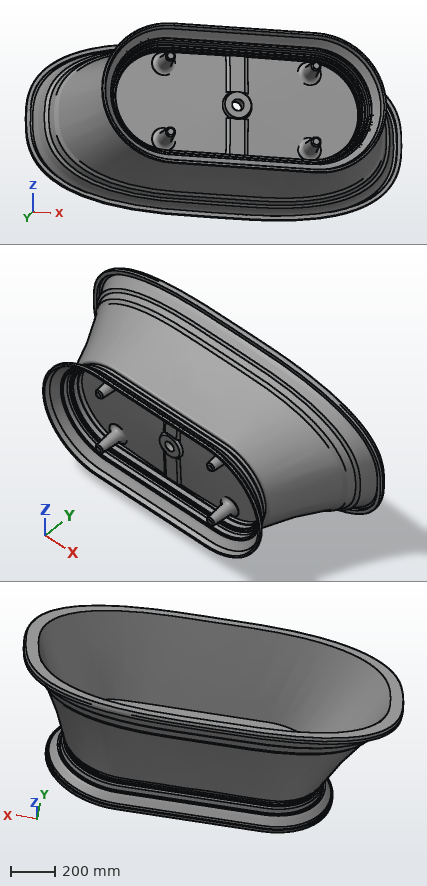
import cadquery as cq
import math

height = 610.0
rim_y = height / 2
base_y = -height / 2

rim_half_length = 875.0
rim_half_width = 399.9
rim_thickness = 32.0
rim_draft = 5.0
rim_plate_thickness = 15.0
rim_lip_thickness = 20.0

stadium_half_straight = 335.0
oval_half_straight = 70.0
stadium_exponent = 2.0
oval_exponent = 2.65
quarter_points = 8
side_points = 2

moulding_levels = [
    (rim_y - rim_plate_thickness, 842.0, 382.0),
    (268.0, 830.0, 371.0),
    (255.0, 822.0, 368.0),
    (215.0, 805.0, 360.0),
    (203.0, 788.0, 350.0),
    (168.0, 772.0, 343.0),
    (150.0, 756.0, 330.0),
]
waist_level = (-9.0, 672.0, 292.0)
bottom_level = (-166.0, 605.0, 266.0)
bottom_edge_radius = 10.0
wall = 12.0
basin_mouth = (rim_y, 812.0, 360.0)

underside_y = bottom_level[0] - bottom_edge_radius
neck_top_y = -168.0
floor_centre_y = -166.0
floor_slope = 0.045
recess_half_width = 235.0
recess_half_length = stadium_half_straight + recess_half_width
drain_diameter = 55.0
boss_diameter = 122.0
boss_base_diameter = 136.0
boss_height = 15.0
rib_width = 68.0
rib_base_width = 102.0
rib_height = 7.0

foot_x = 340.0
foot_z = 178.0
foot_base_y = -154.0
foot_tip_y = -287.0
foot_flare_diameter = 108.0
foot_diameter = 63.0
foot_tip_diameter = 45.0
foot_tip_face = 32.0
foot_tip_chamfer = 7.0

plinth_wall = 9.0
neck_half_width = 248.0
base_half_width = 327.0
base_lip_thickness = 10.0
plinth_profile = [
    (neck_half_width, neck_top_y),
    (neck_half_width, -196.0),
    (252.0, -203.0),
    (262.0, -206.0),
    (270.0, -215.0),
    (273.0, -238.0),
    (284.0, -243.0),
    (294.0, -254.0),
    (317.0, -280.0),
    (320.0, -290.0),
]


def plan(y):
    """Sketch plane at height y, with local x along X and local y along Z."""
    return cq.Workplane(cq.Plane(origin=(0, y, 0), xDir=(1, 0, 0), normal=(0, -1, 0)))


def outline(level):
    """Closed plan outline of the tub at one level."""
    y, half_length, half_width = level
    rim_surplus = rim_half_length - rim_half_width - stadium_half_straight
    roundness = (half_length - half_width - stadium_half_straight) / rim_surplus
    straight = stadium_half_straight + roundness * (oval_half_straight - stadium_half_straight)
    power = 2 / (stadium_exponent + roundness * (oval_exponent - stadium_exponent))
    quarter = []
    for i in range(1, quarter_points):
        angle = math.pi / 2 * (1 - i / quarter_points)
        x = straight + (half_length - straight) * math.cos(angle) ** power
        quarter.append((x, half_width * math.sin(angle) ** power))
    side = [(straight * i / side_points, half_width) for i in range(1, side_points + 1)]
    half = side + quarter
    right = half + [(half_length, 0)] + [(x, -z) for x, z in reversed(half)]
    left = [(-x, -z) for x, z in right]
    points = [(0, -half_width)] + left + [(0, half_width)] + right
    return plan(y).spline(points, periodic=True).wire().val()


def loft(levels, ruled):
    wires = [outline(level) for level in levels]
    return cq.Workplane(cq.Solid.makeLoft(wires, ruled))


def inset(level, amount):
    y, half_length, half_width = level
    return (y, half_length - amount, half_width - amount)


def make_rim():
    """Flat flange whose edge hangs down as a lip, leaving a groove around the tub."""
    bottom = (rim_y - rim_thickness, rim_half_length, rim_half_width)
    top = inset((rim_y, rim_half_length, rim_half_width), rim_draft)
    lip_top = (rim_y - rim_plate_thickness,) + bottom[1:]
    groove = [inset(lip_top, rim_lip_thickness), inset(bottom, rim_lip_thickness)]
    return loft([top, lip_top, bottom], True).cut(loft(groove, True))


def make_bottom_edge():
    """Band that rounds the tub into its underside along a quarter circle."""
    sections = []
    for angle in (0, math.pi / 4, math.pi / 2):
        _, half_length, half_width = inset(bottom_level, bottom_edge_radius * (1 - math.cos(angle)))
        sections.append((bottom_level[0] - bottom_edge_radius * math.sin(angle), half_length, half_width))
    return loft(sections, False)


def make_body():
    """Solid outer form of the tub: rim, stepped mouldings, concave wall and rounded bottom."""
    lower = loft([moulding_levels[-1], waist_level, bottom_level], False)
    body = make_rim()
    for upper_level, lower_level in zip(moulding_levels, moulding_levels[1:]):
        body = body.union(loft([upper_level, lower_level], True))
    return body.union(lower).union(make_bottom_edge())


def floor_height(radius):
    """Height of the shallow conical underside at a distance from the drain."""
    return floor_centre_y + floor_slope * (radius - boss_base_diameter / 2)


def make_basin():
    """Hollow inside of the tub, open at the rim."""
    floor = (floor_height(recess_half_length) + wall,) + inset(bottom_level, wall)[1:]
    sections = [basin_mouth, inset(moulding_levels[-1], wall), inset(waist_level, wall), floor]
    return loft(sections, False)


def stadium_prism(top_y, half_width):
    """Stadium-shaped block from top_y down to the underside of the tub."""
    length = 2 * (stadium_half_straight + half_width)
    return plan(top_y).slot2D(length, 2 * half_width).extrude(top_y - underside_y)


def make_recess():
    """Recess under the tub, with a shallow conical floor that is lowest at the drain."""
    recess_top = floor_height(recess_half_length)
    cone = cq.Solid.makeCone(
        recess_half_length, boss_base_diameter / 2, recess_top - floor_centre_y,
        pnt=cq.Vector(0, recess_top, 0), dir=cq.Vector(0, -1, 0),
    )
    return stadium_prism(recess_top, recess_half_width).cut(cq.Workplane(cone))


def make_foot(x, z):
    """Tapered foot with a flared root and a chamfered tip."""
    flare = (foot_flare_diameter - foot_diameter) / 2
    r = foot_diameter / 2
    tip = foot_tip_diameter / 2
    bend = flare * (1 - math.sqrt(0.5))
    profile = (
        cq.Workplane("XY")
        .moveTo(0, foot_base_y + wall)
        .lineTo(r + flare, foot_base_y + wall)
        .lineTo(r + flare, foot_base_y)
        .threePointArc((r + bend, foot_base_y - bend), (r, foot_base_y - flare))
        .lineTo(tip, foot_tip_y + foot_tip_chamfer)
        .lineTo(foot_tip_face / 2, foot_tip_y)
        .lineTo(0, foot_tip_y)
        .close()
    )
    return profile.revolve(360, (0, 0, 0), (0, 1, 0)).translate((x, 0, z))


def make_rib():
    """Trapezoidal rib on the conical floor, from the drain boss out to the recess wall."""
    sections = []
    for z in (boss_base_diameter / 2 - rib_height, recess_half_width):
        floor_y = floor_height(z)
        section = cq.Workplane("XY", origin=(0, 0, z)).polyline([
            (-rib_base_width / 2, floor_y + rib_height),
            (-rib_base_width / 2, floor_y),
            (-rib_width / 2, floor_y - rib_height),
            (rib_width / 2, floor_y - rib_height),
            (rib_base_width / 2, floor_y),
            (rib_base_width / 2, floor_y + rib_height),
        ]).close()
        sections.append(section.wire().val())
    return cq.Workplane(cq.Solid.makeLoft(sections, True))


def make_boss():
    """Tapered ring around the drain."""
    return (
        plan(floor_centre_y).circle(boss_base_diameter / 2)
        .workplane(offset=boss_height).circle(boss_diameter / 2).loft()
    )


def make_tub():
    tub = make_body().cut(make_basin())
    tub = tub.cut(make_recess()).cut(stadium_prism(neck_top_y, neck_half_width))
    rib = make_rib()
    tub = tub.union(rib).union(rib.mirror("XY")).union(make_boss())
    for x in (-foot_x, foot_x):
        for z in (-foot_z, foot_z):
            tub = tub.union(make_foot(x, z))
    drain = plan(0).circle(drain_diameter / 2).extrude(-base_y)
    return tub.cut(drain)


def plinth_section():
    """Closed wall section of the plinth, placed at one end of its straight sides."""
    inner = [(half_width - plinth_wall, y) for half_width, y in plinth_profile]
    base_lip = [
        (base_half_width, plinth_profile[-1][1]),
        (base_half_width, base_y),
        (base_half_width - base_lip_thickness, base_y),
    ]
    section = plinth_profile + base_lip + inner[::-1]
    return cq.Workplane("ZY", origin=(stadium_half_straight, 0, 0)).polyline(section).close()


def make_plinth():
    """Thin moulded ring: two straight sides joined by two half turns."""
    side = plinth_section().extrude(2 * stadium_half_straight)
    end = plinth_section().revolve(180, (0, 0, 0), (0, 1, 0))
    half = side.union(end)
    return half.union(half.rotate((0, 0, 0), (0, 1, 0), 180))


tub = make_tub()
plinth = make_plinth()
result = cq.Compound.makeCompound([tub.val(), plinth.val()])